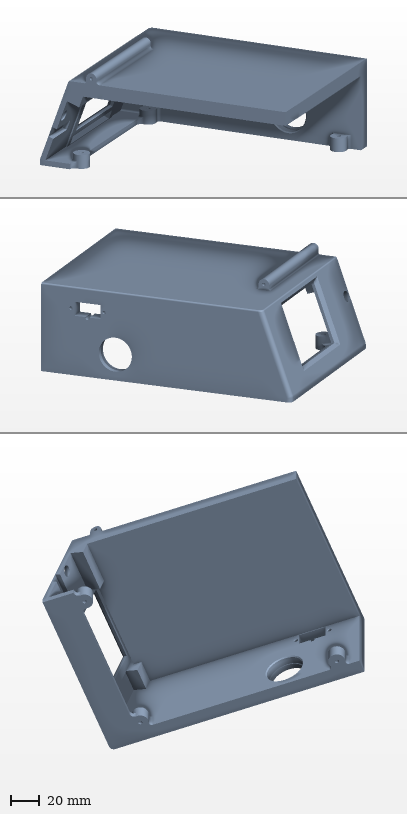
import cadquery as cq
import math

length = 190.0
width = 135.0
roof_top = 65.0
knee_height = 4.0
tilt = 20.0
corner_radius = 3.5
top_edge_radius = 1.1

panel_thickness = 4.0
shell_thickness = 10.0
ledge_height = 4.0
roof_underside = roof_top - shell_thickness
wall_inside = width - shell_thickness

window_start_y = 37.8
window_end_y = 103.7
window_start_s = 10.5
window_end_s = 61.5
window_bevel = 2.7
frame_thickness = 1.0
frame_margin = 4.0
frame_start_s = 1.9
frame_end_s = 60.6

low_skin = 0.2
side_skin = 0.4
side_pocket_width = 22.6
side_pocket_start_s = 19.2
side_pocket_end_s = 27.0
low_pocket_start_y = 38.4
low_pocket_end_y = 103.0
low_pocket_start_s = 2.5
low_pocket_end_s = 9.1

button_diameter = 8.0
button_y = 5.1
button_s = 36.7

block_thickness = 9.9
block_start_s = 50.4
block_end_s = 76.0
recess_end_x = 27.5
recess_top = 62.7

post_diameter = 12.0
post_hole_diameter = 3.0
post_height = 10.0
front_post_x = 27.7
rear_post_x = 175.0
near_post_y = 9.7
far_post_y = wall_inside - 5.0
post_wall_fillet = 2.0
ledge_fillet = 1.3
ledge_end_x = 23.2
ledge_end_fillet = 3.6

hinge_diameter = 8.0
hinge_hole_diameter = 2.5
hinge_x = 39.7
hinge_length = 90.0
hinge_axis_z = roof_top + hinge_diameter / 2
hinge_front_fillet = 1.0
hinge_rear_fillet = 2.3

cable_x = 133.8
cable_z = 19.0
cable_diameter = 25.0
cable_bore_diameter = 26.6
cable_mouth_diameter = 28.1
cable_lip = 4.0

connector_x = 154.8
connector_width = 20.0
connector_bottom = 43.9
connector_top = 54.2
connector_screw_diameter = 2.5
connector_screw_mouth_diameter = 3.5
connector_screw_spacing = 25.0
connector_notch_diameter = 3.0
connector_notch_z = 43.3

tolerance = 0.02

lean = math.tan(math.radians(tilt))
slope_top_x = (roof_top - knee_height) * lean
panel_thickness_x = panel_thickness / math.cos(math.radians(tilt))
inner_knee_height = knee_height - (panel_thickness_x - panel_thickness) / lean
slope_normal = (math.cos(math.radians(tilt)), 0, -math.sin(math.radians(tilt)))


def box(x0, x1, y0, y1, z0, z1):
    """Box between two limits on each axis."""
    return cq.Workplane("XY").box(x1 - x0, y1 - y0, z1 - z0, centered=False).translate((x0, y0, z0))


def slope_plane(depth):
    """Plane parallel to the sloping face, at a depth inside it; its local axes are Y and up-slope."""
    plane = cq.Plane(origin=(0, 0, knee_height), xDir=(0, 1, 0), normal=slope_normal)
    return cq.Workplane(plane).workplane(offset=depth)


def slope_box(y0, y1, s0, s1, depth, thickness):
    """Box square to the sloping face."""
    centre = ((y0 + y1) / 2, (s0 + s1) / 2)
    return slope_plane(depth).center(*centre).rect(y1 - y0, s1 - s0).extrude(thickness)


def wall_cylinder(x, z, diameter, y0, y1):
    """Cylinder along Y."""
    return cq.Workplane("XZ", origin=(x, y0, z)).circle(diameter / 2).extrude(y0 - y1)


def make_envelope():
    """Outer form of the whole enclosure, with its rounded edges."""
    profile = [(0, 0), (length, 0), (length, roof_top), (slope_top_x, roof_top), (0, knee_height)]
    body = cq.Workplane("XZ").polyline(profile).close().extrude(-width)
    knee = cq.selectors.NearestToPointSelector((0, width / 2, knee_height))
    upright = cq.selectors.NearestToPointSelector((0, width, knee_height / 2))
    sloping = cq.selectors.NearestToPointSelector((slope_top_x / 2, width, (roof_top + knee_height) / 2))
    body = body.edges(knee + upright + sloping).fillet(corner_radius)
    front_top = cq.selectors.NearestToPointSelector((slope_top_x, width / 2, roof_top))
    back_top = cq.selectors.NearestToPointSelector((length / 2, width, roof_top))
    return body.edges(front_top + back_top).fillet(top_edge_radius)


def make_panel_layer():
    """Layer of the envelope taken by the front panel."""
    profile = [
        (0, 0),
        (panel_thickness, 0),
        (panel_thickness, inner_knee_height),
        (slope_top_x + panel_thickness_x, roof_top),
        (slope_top_x, roof_top),
        (0, knee_height),
    ]
    return cq.Workplane("XZ").polyline(profile).close().extrude(-width)


def make_window_cutter():
    """Window opening with bevelled edges on the outside."""
    height = window_end_s - window_start_s
    breadth = window_end_y - window_start_y
    centre = ((window_start_y + window_end_y) / 2, (window_start_s + window_end_s) / 2)
    bevel = (
        slope_plane(0).center(*centre).rect(breadth, height)
        .workplane(offset=window_bevel).rect(breadth - 2 * window_bevel, height - 2 * window_bevel)
        .loft(ruled=True)
    )
    opening = slope_box(
        window_start_y + window_bevel, window_end_y - window_bevel,
        window_start_s + window_bevel, window_end_s - window_bevel,
        0, panel_thickness + frame_thickness,
    )
    return bevel.union(opening)


def make_panel(envelope):
    """Front panel with its window, button hole and pockets."""
    frame = slope_box(
        window_start_y - frame_margin, window_end_y + frame_margin,
        frame_start_s, frame_end_s, panel_thickness, frame_thickness,
    )
    panel = envelope.intersect(make_panel_layer()).union(frame).cut(make_window_cutter())
    button = slope_plane(0).center(button_y, button_s).circle(button_diameter / 2).extrude(panel_thickness)
    pocket_depth = panel_thickness + frame_thickness
    side_pocket = slope_box(
        0, side_pocket_width, side_pocket_start_s, side_pocket_end_s, side_skin, pocket_depth
    )
    low_pocket = slope_box(
        low_pocket_start_y, low_pocket_end_y, low_pocket_start_s, low_pocket_end_s, low_skin, pocket_depth
    )
    return panel.cut(button).cut(side_pocket).cut(low_pocket)


def upright_cylinder(x, y, diameter, height):
    """Cylinder standing on the base plane."""
    return cq.Workplane("XY").center(x, y).circle(diameter / 2).extrude(height)


def make_hinge():
    """Barrel with upright flanks, and fillets where the flanks meet the roof."""
    radius = hinge_diameter / 2
    front_x = hinge_x - radius
    rear_x = hinge_x + radius
    bend = math.sqrt(0.5)
    front_mid = (front_x - hinge_front_fillet * (1 - bend), roof_top + hinge_front_fillet * (1 - bend))
    rear_mid = (rear_x + hinge_rear_fillet * (1 - bend), roof_top + hinge_rear_fillet * (1 - bend))
    return (
        cq.Workplane("XZ")
        .moveTo(front_x - hinge_front_fillet, roof_top)
        .threePointArc(front_mid, (front_x, roof_top + hinge_front_fillet))
        .lineTo(front_x, hinge_axis_z)
        .threePointArc((hinge_x, hinge_axis_z + radius), (rear_x, hinge_axis_z))
        .lineTo(rear_x, roof_top + hinge_rear_fillet)
        .threePointArc(rear_mid, (rear_x + hinge_rear_fillet, roof_top))
        .close()
        .extrude(-hinge_length)
    )


def chamfered_mouth(x, z, mouth_diameter, hole_diameter):
    """Cutter for a 45 degree chamfer where a hole opens on the inside of the back wall."""
    depth = (mouth_diameter - hole_diameter) / 2
    cone = cq.Solid.makeCone(
        mouth_diameter / 2, hole_diameter / 2, depth,
        pnt=cq.Vector(x, wall_inside, z), dir=cq.Vector(0, 1, 0),
    )
    return cq.Workplane(cone)


def make_cable_cutter():
    """Cable hole: narrow lip outside, wider bore inside with a chamfered mouth."""
    narrow = wall_cylinder(cable_x, cable_z, cable_diameter, wall_inside, width)
    bore = wall_cylinder(cable_x, cable_z, cable_bore_diameter, wall_inside, width - cable_lip)
    mouth = chamfered_mouth(cable_x, cable_z, cable_mouth_diameter, cable_bore_diameter)
    return narrow.union(bore).union(mouth)


def make_connector_cutter():
    """Connector opening with a round notch below and a chamfered screw hole on each side."""
    half = connector_width / 2
    opening = box(connector_x - half, connector_x + half, wall_inside, width, connector_bottom, connector_top)
    notch = wall_cylinder(connector_x, connector_notch_z, connector_notch_diameter, wall_inside, width)
    cutter = opening.union(notch)
    screw_z = (connector_bottom + connector_top) / 2
    for side in (-1, 1):
        x = connector_x + side * connector_screw_spacing / 2
        screw_hole = wall_cylinder(x, screw_z, connector_screw_diameter, wall_inside, width)
        mouth = chamfered_mouth(x, screw_z, connector_screw_mouth_diameter, connector_screw_diameter)
        cutter = cutter.union(screw_hole).union(mouth)
    return cutter


def edges_within(body, corner, opposite):
    """Edges whose centres lie inside a box."""
    return body.edges(cq.selectors.BoxSelector(corner, opposite))


def make_ledge():
    """Ledge behind the panel, flaring into the front posts at its free edge."""
    ledge = box(0, ledge_end_x, 0, wall_inside, 0, ledge_height)
    for y in (near_post_y, far_post_y):
        ledge = ledge.union(upright_cylinder(front_post_x, y, post_diameter, ledge_height))
    return edges_within(
        ledge,
        (ledge_end_x - tolerance, tolerance, tolerance),
        (ledge_end_x + tolerance, far_post_y, ledge_height - tolerance),
    ).edges("|Z").fillet(ledge_end_fillet)


def cove_profile(workplane, direction):
    """Section of a hollow fillet on the ledge, starting at the corner and running in one direction."""
    reach = direction * ledge_fillet
    bend = 1 - math.sqrt(0.5)
    return (
        workplane.moveTo(0, 0)
        .lineTo(reach, 0)
        .threePointArc((reach * bend, ledge_fillet * bend), (0, ledge_fillet))
        .close()
    )


def make_ledge_coves(ledge):
    """Hollow fillets where the ledge meets the back wall and the front posts."""
    wall_plane = cq.Workplane("YZ", origin=(0, wall_inside, ledge_height))
    coves = cove_profile(wall_plane, -1).extrude(front_post_x)
    axis_start = (-post_diameter / 2, 0)
    axis_end = (-post_diameter / 2, ledge_fillet)
    for y in (near_post_y, far_post_y):
        post_plane = cq.Workplane("XZ", origin=(front_post_x + post_diameter / 2, y, ledge_height))
        coves = coves.union(cove_profile(post_plane, 1).revolve(360, axis_start, axis_end))
    return coves.intersect(ledge.translate((0, 0, ledge_height)))


def make_base():
    """Back wall, ledge and screw posts, with their fillets."""
    base = box(0, length, wall_inside, width, 0, roof_top)
    for x in (front_post_x, rear_post_x):
        base = base.union(upright_cylinder(x, far_post_y, post_diameter, post_height))
        base = edges_within(
            base,
            (x - post_diameter, wall_inside - tolerance, tolerance),
            (x + post_diameter, wall_inside + tolerance, post_height - tolerance),
        ).fillet(post_wall_fillet)
    ledge = make_ledge()
    near_post = upright_cylinder(front_post_x, near_post_y, post_diameter, post_height)
    return base.union(ledge).union(near_post).union(make_ledge_coves(ledge))


def make_housing(envelope):
    """Roof, back wall, ledge, posts and hinge barrel as one part."""
    roof = box(0, length, 0, width, roof_underside, roof_top)
    block = slope_box(0, width, block_start_s, block_end_s, panel_thickness, block_thickness)
    recess_limits = (window_start_y - frame_margin, window_end_y + frame_margin)
    block = block.cut(box(0, length, *recess_limits, 0, roof_top))
    roof = roof.cut(box(0, recess_end_x, *recess_limits, roof_underside, recess_top))
    shell = roof.union(block).union(make_base())
    housing = envelope.intersect(shell).cut(make_panel_layer())
    housing = housing.union(make_hinge())
    housing = housing.cut(wall_cylinder(hinge_x, hinge_axis_z, hinge_hole_diameter, 0, hinge_length))
    for x, y in ((front_post_x, near_post_y), (front_post_x, far_post_y), (rear_post_x, far_post_y)):
        housing = housing.cut(upright_cylinder(x, y, post_hole_diameter, post_height))
    return housing.cut(make_cable_cutter()).cut(make_connector_cutter())


envelope = make_envelope()
panel = make_panel(envelope)
housing = make_housing(envelope)
result = cq.Compound.makeCompound([panel.solids().val(), housing.solids().val()])